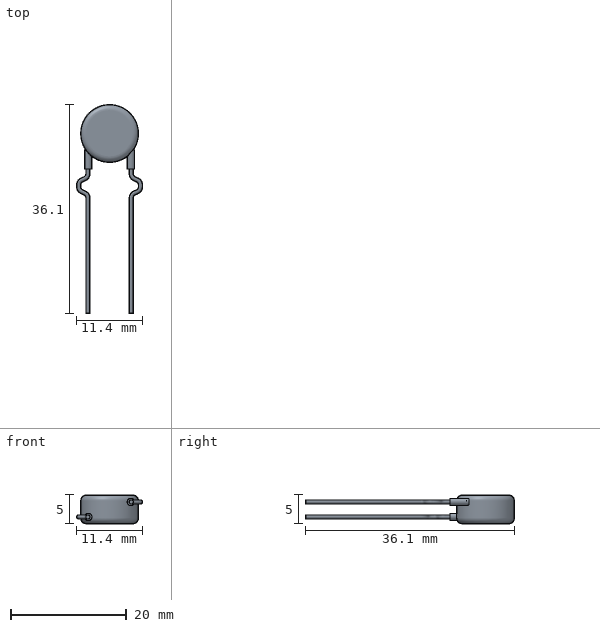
import cadquery as cq
import math

overall_length = 36.12

disc_diameter = 10.0
disc_thickness = 5.0
disc_edge_radius = 1.0

sleeve_diameter = 1.25
sleeve_spacing = 7.37
sleeve_start_y = -2.85
sleeve_end_y = -6.18

lead_diameter = 0.72
lead_spacing = 7.5
lead_height = 1.3
lead_start_y = -3.25
lead_tip_y = disc_diameter / 2 - overall_length

width_over_kinks = 11.4
kink_middle_y = -9.05
crest_length = 0.35
bend_radius = 0.9
bend_angle = math.radians(65)

lead_x = lead_spacing / 2
crest_x = (width_over_kinks - lead_diameter) / 2
bend_reach = bend_radius * (1 - math.cos(bend_angle))
bend_rise = bend_radius * math.sin(bend_angle)
slant_reach = crest_x - lead_x - 2 * bend_reach
slant_rise = slant_reach / math.tan(bend_angle)

crest_end = crest_length / 2
slant_outer_end = crest_end + bend_rise
slant_inner_end = slant_outer_end + slant_rise
kink_end = slant_inner_end + bend_rise

side_turns = (0, 180)


def turn_about_y(shape, angle):
    return shape.rotate((0, 0, 0), (0, 1, 0), angle)


def make_lead(turn):
    """One round wire from inside its sleeve, around the kink, to its tip."""
    slant_inner_x = lead_x + bend_reach
    slant_outer_x = crest_x - bend_reach
    path = (
        cq.Workplane("XY", origin=(0, 0, lead_height))
        .moveTo(lead_x, lead_start_y)
        .lineTo(lead_x, kink_middle_y + kink_end)
        .tangentArcPoint((slant_inner_x, kink_middle_y + slant_inner_end), relative=False)
        .lineTo(slant_outer_x, kink_middle_y + slant_outer_end)
        .tangentArcPoint((crest_x, kink_middle_y + crest_end), relative=False)
        .lineTo(crest_x, kink_middle_y - crest_end)
        .tangentArcPoint((slant_outer_x, kink_middle_y - slant_outer_end), relative=False)
        .lineTo(slant_inner_x, kink_middle_y - slant_inner_end)
        .tangentArcPoint((lead_x, kink_middle_y - kink_end), relative=False)
        .lineTo(lead_x, lead_tip_y)
    )
    lead_start = (lead_x, lead_start_y, lead_height)
    lead = cq.Workplane("XZ", origin=lead_start).circle(lead_diameter / 2).sweep(path)
    return turn_about_y(lead, turn)


def make_sleeve(turn):
    """Solid run of coating along one lead, before the lead's hole is cut."""
    sleeve_start = (sleeve_spacing / 2, sleeve_start_y, lead_height)
    sleeve = (
        cq.Workplane("XZ", origin=sleeve_start)
        .circle(sleeve_diameter / 2)
        .extrude(sleeve_start_y - sleeve_end_y)
    )
    return turn_about_y(sleeve, turn)


def make_coating(leads):
    """Rounded disc and both sleeves in one piece, with a blind hole for each lead."""
    coating = (
        cq.Workplane("XY", origin=(0, 0, -disc_thickness / 2))
        .circle(disc_diameter / 2)
        .extrude(disc_thickness)
        .faces("<Z or >Z")
        .edges()
        .fillet(disc_edge_radius)
    )
    for turn in side_turns:
        coating = coating.union(make_sleeve(turn))
    for lead in leads:
        coating = coating.cut(lead)
    return coating.solids()


leads = [make_lead(turn) for turn in side_turns]
coating = make_coating(leads)

result = cq.Compound.makeCompound([coating.val(), *[lead.val() for lead in leads]])